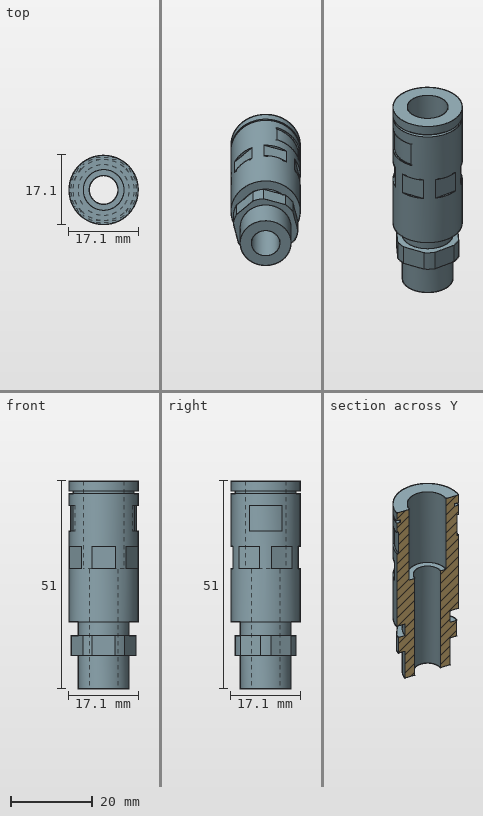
import cadquery as cq

length = 51.0
body_diameter = 17.05

nut_bottom = 8.15
nut_top = 13.05
body_bottom = 16.4
flats_bottom = 29.55
flats_top = 35.0
recess_bottom = 38.7
recess_top = 45.0
groove_bottom = 47.9
groove_top = 48.5

stem_diameter = 12.5
groove_diameter = 15.0
nut_corner_diameter = 16.0
nut_across_flats = 15.0
body_across_flats = 16.0
recess_floor_diameter = 16.2
recess_width = 8.0
hexagon_turn = 30
bore_diameter = 7.0
counterbore_diameter = 10.0
counterbore_floor = flats_bottom


def cylinder(diameter, bottom, top):
    return cq.Workplane("XY").workplane(offset=bottom).circle(diameter / 2).extrude(top - bottom)


def hexagonal_band(across_flats, corner_diameter, bottom, top):
    """Hexagon with flats facing +Y and -Y, its corners rounded to a diameter."""
    hexagon = (
        cq.Workplane("XY")
        .workplane(offset=bottom)
        .polygon(6, across_flats, circumscribed=True)
        .extrude(top - bottom)
    )
    hexagon = hexagon.rotate((0, 0, 0), (0, 0, 1), hexagon_turn)
    return hexagon.intersect(cylinder(corner_diameter, bottom, top))


def side_recesses():
    """Shallow windows on the +X and -X sides, with floors concentric to the body."""
    height = recess_top - recess_bottom
    bar = (
        cq.Workplane("XY")
        .workplane(offset=recess_bottom)
        .rect(2 * body_diameter, recess_width)
        .extrude(height)
    )
    return bar.cut(cylinder(recess_floor_diameter, recess_bottom, recess_top))


result = cylinder(stem_diameter, 0, body_bottom)
result = result.union(hexagonal_band(nut_across_flats, nut_corner_diameter, nut_bottom, nut_top))
result = result.union(cylinder(body_diameter, body_bottom, flats_bottom))
result = result.union(hexagonal_band(body_across_flats, body_diameter, flats_bottom, flats_top))
result = result.union(cylinder(body_diameter, flats_top, groove_bottom))
result = result.union(cylinder(groove_diameter, groove_bottom, groove_top))
result = result.union(cylinder(body_diameter, groove_top, length))

result = result.cut(side_recesses())

result = result.cut(cylinder(bore_diameter, 0, length))
result = result.cut(cylinder(counterbore_diameter, counterbore_floor, length))